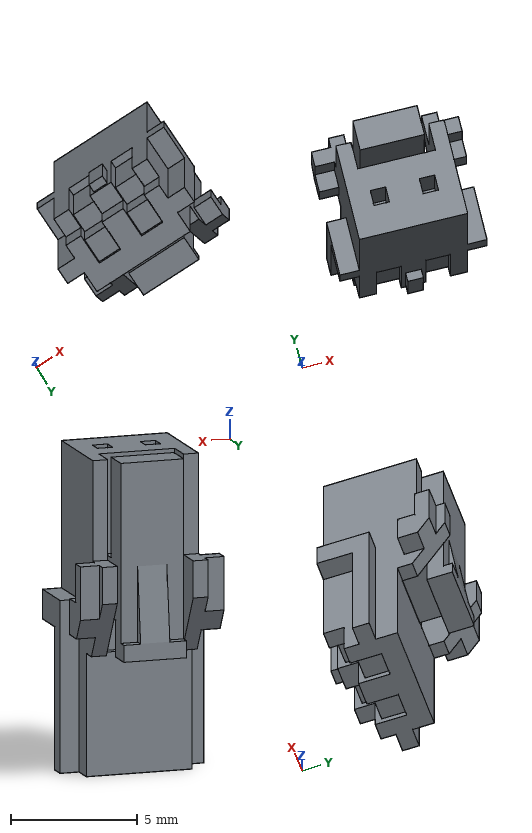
import cadquery as cq

height = 13.0
body_width = 4.42
overall_width = 6.0
foot_back = 3.11
foot_top = 5.0
slot_floor = 2.8

arm_inner = 1.59
upper_arm_back = 3.9
arm_back = 5.1
arm_top = 8.92
ramp_start_y = 3.73
ramp_end_z = 7.41

ear_front = 3.39
ear_upper_front = 4.11
ear_back = 4.72
ear_bottom = 5.89
ear_step = 7.35

wing_back = 2.2
wing_leg_front = 1.5
wing_underside = 5.81
wing_top = 7.02

latch_width = 2.63
latch_front = 3.51
latch_foot_front = 4.03
latch_neck_bottom = 6.5
latch_shelf = 5.7
wedge_width = 1.22
wedge_top = 8.76

contact_pitch = 2.0
pin_hole_size = 0.62
pin_hole_center_y = 1.51
pin_hole_depth = 2.6
slot_width = 1.0
slot_depth = 0.32
slot_shoulder = 1.94
slot_pocket_depth = 1.15
exit_height = 0.29
exit_back = wing_back

nose_height = 1.65
nose_setback = 0.87
key_width = 0.64
key_depth = 0.35
key_bottom = 1.94
key_top = 4.34


def block(x0, x1, y0, y1, z0, z1):
    return cq.Workplane("XY").box(x1 - x0, y1 - y0, z1 - z0, centered=False).translate((x0, y0, z0))


def centered_block(width, y0, y1, z0, z1):
    return block(-width / 2, width / 2, y0, y1, z0, z1)


def side_prism(x0, x1, points):
    """Extrude a (y, z) outline from x0 to x1."""
    return cq.Workplane("YZ").polyline(points).close().extrude(x1 - x0).translate((x0, 0, 0))


def make_body():
    foot = centered_block(body_width, 0, foot_back, 0, foot_top)
    tower = centered_block(body_width, 0, slot_floor, foot_top, height)
    return foot.union(tower)


def make_arm():
    outline = [
        (slot_floor, foot_top),
        (ramp_start_y, foot_top),
        (arm_back, ramp_end_z),
        (arm_back, arm_top),
        (upper_arm_back, arm_top),
        (upper_arm_back, height),
        (slot_floor, height),
    ]
    return side_prism(arm_inner, body_width / 2, outline)


def make_ear():
    ramp_slope = (arm_back - ramp_start_y) / (ramp_end_z - foot_top)
    ramp_y_at_bottom = ramp_start_y + ramp_slope * (ear_bottom - foot_top)
    ramp_z_at_back = foot_top + (ear_back - ramp_start_y) / ramp_slope
    outline = [
        (ear_front, ear_bottom),
        (ramp_y_at_bottom, ear_bottom),
        (ear_back, ramp_z_at_back),
        (ear_back, arm_top),
        (ear_upper_front, arm_top),
        (ear_upper_front, ear_step),
        (ear_front, ear_step),
    ]
    return side_prism(body_width / 2, overall_width / 2, outline)


def make_wing():
    outline = [
        (wing_leg_front, 0),
        (wing_back, 0),
        (wing_back, wing_top),
        (0, wing_top),
        (0, wing_underside),
        (wing_leg_front, wing_underside),
    ]
    return side_prism(body_width / 2, overall_width / 2, outline)


def make_latch():
    outline = [
        (latch_foot_front, foot_top),
        (arm_back, foot_top),
        (arm_back, latch_shelf),
        (ear_back, latch_shelf),
        (ear_back, height),
        (latch_front, height),
        (latch_front, arm_top),
        (slot_floor, arm_top),
        (slot_floor, latch_neck_bottom),
        (latch_foot_front, latch_neck_bottom),
    ]
    lever = side_prism(-latch_width / 2, latch_width / 2, outline)
    wedge_outline = [(ear_back, latch_shelf), (arm_back, latch_shelf), (ear_back, wedge_top)]
    return lever.union(side_prism(-wedge_width / 2, wedge_width / 2, wedge_outline))


def make_contact_cuts(center_x):
    x0 = center_x - slot_width / 2
    x1 = center_x + slot_width / 2
    slot = block(x0, x1, 0, slot_depth, 0, wing_underside)
    pocket = block(x0, x1, 0, slot_pocket_depth, 0, slot_shoulder)
    wire_exit = block(x0, x1, 0, exit_back, 0, exit_height)
    half = pin_hole_size / 2
    pin_hole = block(
        center_x - half,
        center_x + half,
        pin_hole_center_y - half,
        pin_hole_center_y + half,
        height - pin_hole_depth,
        height,
    )
    return slot.union(pocket).union(wire_exit).union(pin_hole)


result = make_body().union(make_latch())
for side_part in (make_arm(), make_ear(), make_wing()):
    result = result.union(side_part).union(side_part.mirror("YZ"))

result = result.cut(centered_block(body_width, 0, nose_setback, 0, nose_height))
for side in (-1, 1):
    result = result.cut(make_contact_cuts(side * contact_pitch / 2))

result = result.union(centered_block(key_width, -key_depth, 0, key_bottom, key_top))